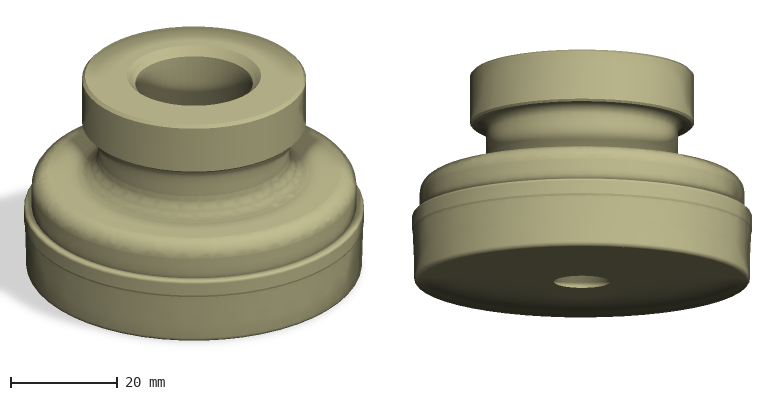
import cadquery as cq
import math

TOTAL_HEIGHT = 40.0

BASE_RADIUS = 60.8 / 2
SHOULDER_FILLET = 2.9
SHOULDER_OUTER_Z = 19.8
SHOULDER_SLOPE = 1.0

NECK_RADIUS = 36.0 / 2
NECK_LOWER_FILLET = 3.8
NECK_UPPER_FILLET = 1.5
FLANGE_RADIUS = 42.0 / 2
FLANGE_BOTTOM_Z = 30.05
FLANGE_TOP_CHAMFER = 0.6
FLANGE_BOTTOM_CHAMFER = 0.4
SHOULDER_RISE = (BASE_RADIUS - NECK_RADIUS) * math.tan(math.radians(SHOULDER_SLOPE))
SHOULDER_INNER_Z = SHOULDER_OUTER_Z + SHOULDER_RISE

BORE_RADIUS = 22.05 / 2
BORE_CHAMFER = 1.5
BORE_STEP_Z = 25.8
INNER_BORE_RADIUS = 21.1 / 2
INNER_BORE_FLOOR_Z = 12.75
THROUGH_HOLE_RADIUS = 10.5 / 2

SLEEVE_HEIGHT = 12.85
LIP_RADIUS = 31.85
LIP_BOTTOM_Z = 9.95
LIP_FILLET = 0.5
LIP_STEP = 0.1
LIP_STEP_HEIGHT = 0.4
SLEEVE_BOTTOM_RADIUS = 31.45
SLEEVE_BOTTOM_FILLET = 0.75

SELECTION_MARGIN = 0.2


def revolve_profile(profile):
    """Turn a closed (radius, height) profile around the Z axis."""
    return profile.close().revolve(360, (0, 0, 0), (0, 1, 0))


def cylinder(radius, bottom, top):
    return cq.Workplane("XY").workplane(offset=bottom).circle(radius).extrude(top - bottom)


def hub_blank():
    """Solid turned hub: base, conical shoulder, neck and flange, with sharp corners."""
    profile = (
        cq.Workplane("XZ")
        .moveTo(0, 0)
        .lineTo(BASE_RADIUS, 0)
        .lineTo(BASE_RADIUS, SHOULDER_OUTER_Z)
        .lineTo(NECK_RADIUS, SHOULDER_INNER_Z)
        .lineTo(NECK_RADIUS, FLANGE_BOTTOM_Z)
        .lineTo(FLANGE_RADIUS, FLANGE_BOTTOM_Z)
        .lineTo(FLANGE_RADIUS, TOTAL_HEIGHT)
        .lineTo(0, TOTAL_HEIGHT)
    )
    return revolve_profile(profile)


def edge_at(radius, height):
    """Box selector for the circular edge with the given radius and height."""
    margin = SELECTION_MARGIN
    low = (-radius - margin, -radius - margin, height - margin)
    high = (radius + margin, radius + margin, height + margin)
    return cq.selectors.BoxSelector(low, high, boundingbox=True)


def make_hub():
    hub = hub_blank()

    hub = hub.edges(edge_at(BASE_RADIUS, SHOULDER_OUTER_Z)).fillet(SHOULDER_FILLET)
    hub = hub.edges(edge_at(NECK_RADIUS, SHOULDER_INNER_Z)).fillet(NECK_LOWER_FILLET)
    hub = hub.edges(edge_at(NECK_RADIUS, FLANGE_BOTTOM_Z)).fillet(NECK_UPPER_FILLET)

    hub = hub.faces(">Z").edges().chamfer(FLANGE_TOP_CHAMFER)
    flange_underside = hub.edges(edge_at(FLANGE_RADIUS, FLANGE_BOTTOM_Z))
    flange_rim = flange_underside.edges(cq.selectors.RadiusNthSelector(-1))
    hub = flange_rim.chamfer(FLANGE_BOTTOM_CHAMFER)

    hub = hub.cut(cylinder(THROUGH_HOLE_RADIUS, 0, TOTAL_HEIGHT))
    hub = hub.cut(cylinder(INNER_BORE_RADIUS, INNER_BORE_FLOOR_Z, TOTAL_HEIGHT))
    hub = hub.cut(cylinder(BORE_RADIUS, BORE_STEP_Z, TOTAL_HEIGHT))
    return hub.edges(edge_at(BORE_RADIUS, TOTAL_HEIGHT)).chamfer(BORE_CHAMFER)


def make_sleeve():
    """Ring around the base, with a plain lip above a slightly tapered skirt."""
    profile = (
        cq.Workplane("XZ")
        .moveTo(BASE_RADIUS, 0)
        .lineTo(SLEEVE_BOTTOM_RADIUS - SLEEVE_BOTTOM_FILLET, 0)
        .radiusArc((SLEEVE_BOTTOM_RADIUS, SLEEVE_BOTTOM_FILLET), -SLEEVE_BOTTOM_FILLET)
        .lineTo(LIP_RADIUS - LIP_STEP, LIP_BOTTOM_Z - LIP_STEP_HEIGHT)
        .lineTo(LIP_RADIUS, LIP_BOTTOM_Z)
        .lineTo(LIP_RADIUS, SLEEVE_HEIGHT - LIP_FILLET)
        .radiusArc((LIP_RADIUS - LIP_FILLET, SLEEVE_HEIGHT), -LIP_FILLET)
        .lineTo(BASE_RADIUS, SLEEVE_HEIGHT)
    )
    return revolve_profile(profile)


hub = make_hub()
sleeve = make_sleeve()
result = cq.Compound.makeCompound([hub.solids().val(), sleeve.solids().val()])